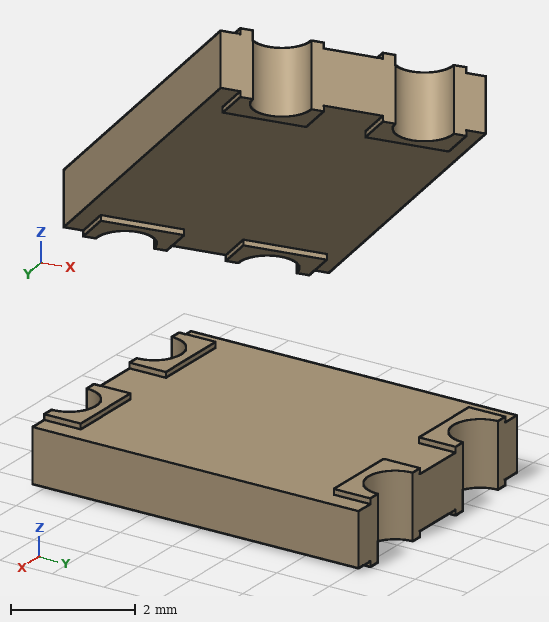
import cadquery as cq

board_width = 4.65
board_length = 6.25
board_thickness = 1.0

pad_width = 1.46
pad_length = 0.7
pad_thickness = 0.1
pad_pitch = 2.5

castellation_radius = 0.51

total_height = board_thickness + 2 * pad_thickness
terminal_xs = (-pad_pitch / 2, pad_pitch / 2)
end_signs = (-1, 1)


def make_pads():
    """Pad blocks running through the board, so each makes an upper and a lower pad."""
    pad_centre_y = (board_length - pad_length) / 2
    centres = [(x, sign * pad_centre_y) for x in terminal_xs for sign in end_signs]
    return cq.Workplane("XY").pushPoints(centres).box(pad_width, pad_length, total_height)


def make_castellations():
    """Cylinders centred on the short edges of the board."""
    centres = [(x, sign * board_length / 2) for x in terminal_xs for sign in end_signs]
    return cq.Workplane("XY").pushPoints(centres).cylinder(total_height, castellation_radius)


board = cq.Workplane("XY").box(board_width, board_length, board_thickness)
result = board.union(make_pads()).cut(make_castellations())